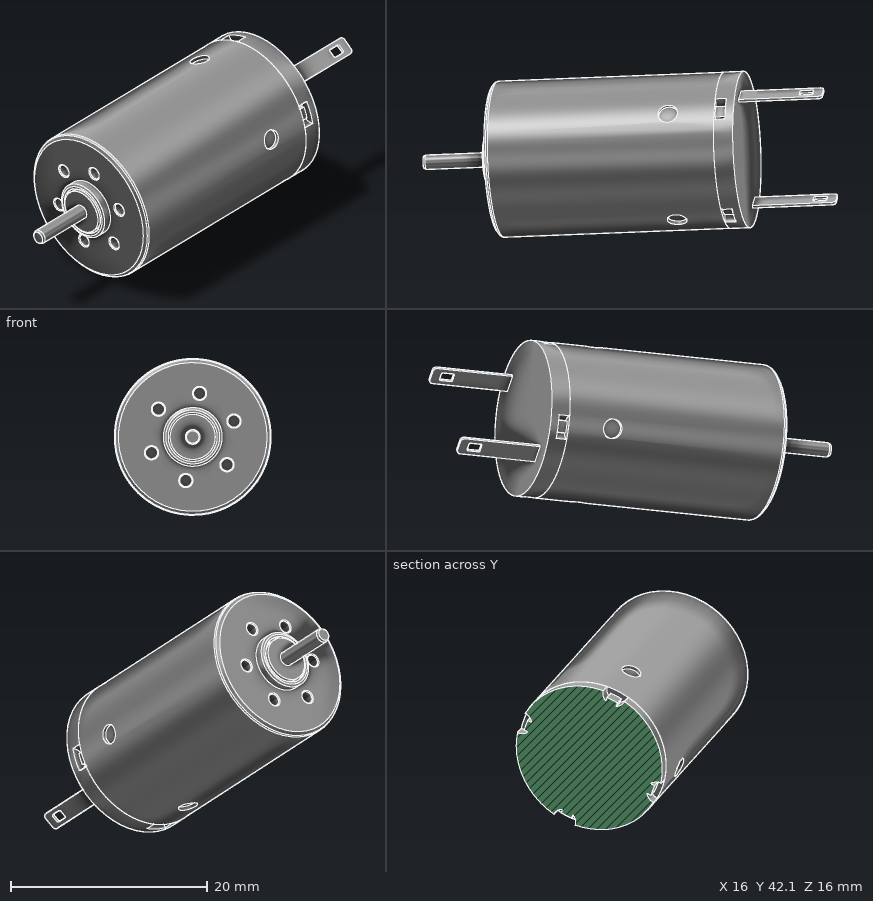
import cadquery as cq


can_diameter = 15.97
can_length = 23.9
can_wall = 0.4

can_face_diameter = 15.16
can_taper_start_y = 0.45
can_taper_end_y = 0.25
can_taper_depth = 0.08

cap_diameter = 16.0
cap_length = 2.0

boss_diameter = 6.0
boss_height = 1.0
boss_chamfer_length = 0.12
boss_chamfer_depth = 0.25
bearing_diameter = 4.6
bearing_reach = 1.13
groove_diameter = 5.0
groove_depth = 0.3

shaft_diameter = 1.5
shaft_reach = 7.6
shaft_chamfer_length = 0.25
shaft_chamfer_depth = 0.12

mount_hole_count = 6
mount_hole_diameter = 1.25
mount_hole_depth = 1.5
mount_mouth_chamfer = 0.1
mount_circle_radius = 4.5
mount_first_angle = 21.0

window_count = 4
window_diameter = 2.0
window_y = 19.1
window_first_angle = 17.4

notch_count = 4
notch_diameter = 2.45
notch_length = 1.15
notch_first_angle = 20.0
tab_width = 1.25
tab_length = 1.05
tab_outer_radius = 7.4
tab_inner_radius = 6.5

terminal_count = 2
terminal_radius = 6.08
terminal_first_angle = 50.7
terminal_width = 1.92
terminal_thickness = 0.3
terminal_length = 8.6
terminal_corner_radius = 0.4
eyelet_width = 0.95
eyelet_corner_radius = 0.15
eyelet_length = 1.4
eyelet_from_tip = 1.7

cap_end_y = can_length + cap_length
terminal_tip_y = cap_end_y + terminal_length


def cylinder(diameter, start_y, end_y):
    """Cylinder on the motor axis between two Y positions."""
    front = cq.Workplane("XZ", origin=(0, start_y, 0))
    return front.circle(diameter / 2).extrude(start_y - end_y)


def turned(body, angle):
    """Turn a body about the motor axis, from +X towards +Z."""
    return body.rotate((0, 0, 0), (0, 1, 0), -angle)


def radial_block(inner_radius, outer_radius, start_y, length, width):
    """Block reaching outward along +X, centred on the XY plane."""
    height = outer_radius - inner_radius
    block = cq.Workplane("XY").box(height, length, width, centered=(False, False, True))
    return block.translate((inner_radius, start_y, 0))


def spaced_angles(count, first_angle):
    return [first_angle + index * 360 / count for index in range(count)]


def make_housing():
    can_radius = can_diameter / 2
    half_section = [
        (0, 0),
        (can_face_diameter / 2, 0),
        (can_radius - can_taper_depth, can_taper_end_y),
        (can_radius, can_taper_start_y),
        (can_radius, can_length),
        (0, can_length),
    ]
    can = cq.Workplane("XY").polyline(half_section).close().revolve(360, (0, 0), (0, 1))
    cap = cylinder(cap_diameter, can_length, cap_end_y)
    return can.union(cap)


def make_boss():
    boss = cylinder(boss_diameter, -boss_height, 0)
    boss = boss.faces("<Y").edges().chamfer(boss_chamfer_length, boss_chamfer_depth)
    boss = boss.cut(cylinder(groove_diameter, -boss_height, groove_depth - boss_height))
    return boss.union(cylinder(bearing_diameter, -bearing_reach, 0))


def make_shaft():
    shaft = cylinder(shaft_diameter, -shaft_reach, 0)
    return shaft.faces("<Y").edges().chamfer(shaft_chamfer_length, shaft_chamfer_depth)


def make_mount_hole(angle):
    hole = cylinder(mount_hole_diameter, 0, mount_hole_depth)
    mouth = cq.Solid.makeCone(
        mount_hole_diameter / 2 + mount_mouth_chamfer,
        mount_hole_diameter / 2,
        mount_mouth_chamfer,
        dir=cq.Vector(0, 1, 0),
    )
    hole = hole.union(cq.Workplane(mouth))
    return turned(hole.translate((mount_circle_radius, 0, 0)), angle)


def make_window(angle):
    drill = cq.Workplane("YZ").center(window_y, 0).circle(window_diameter / 2).extrude(can_diameter)
    core = cylinder(can_diameter - 2 * can_wall, 0, can_length)
    return turned(drill.cut(core), angle)


def make_notch(angle):
    notch = cylinder(notch_diameter, can_length, can_length + notch_length)
    return turned(notch.translate((cap_diameter / 2, 0, 0)), angle)


def make_tab(angle):
    tab = radial_block(tab_inner_radius, cap_diameter / 2, can_length, tab_length, tab_width)
    tab = tab.intersect(cylinder(2 * tab_outer_radius, can_length, cap_end_y))
    return turned(tab, angle)


def make_terminal(angle):
    blade = radial_block(
        terminal_radius - terminal_thickness / 2,
        terminal_radius + terminal_thickness / 2,
        cap_end_y,
        terminal_length,
        terminal_width,
    )
    blade = blade.faces(">Y").edges("|X").fillet(terminal_corner_radius)
    eyelet = (
        cq.Workplane("YZ")
        .center(terminal_tip_y - eyelet_from_tip, 0)
        .rect(eyelet_length, eyelet_width)
        .extrude(2 * terminal_radius)
        .edges("|X")
        .fillet(eyelet_corner_radius)
    )
    return turned(blade.cut(eyelet), angle)


result = make_housing().union(make_boss()).union(make_shaft())

for hole_angle in spaced_angles(mount_hole_count, mount_first_angle):
    result = result.cut(make_mount_hole(hole_angle))

for window_angle in spaced_angles(window_count, window_first_angle):
    result = result.cut(make_window(window_angle))

for notch_angle in spaced_angles(notch_count, notch_first_angle):
    result = result.cut(make_notch(notch_angle)).union(make_tab(notch_angle))

for blade_angle in spaced_angles(terminal_count, terminal_first_angle):
    result = result.union(make_terminal(blade_angle))